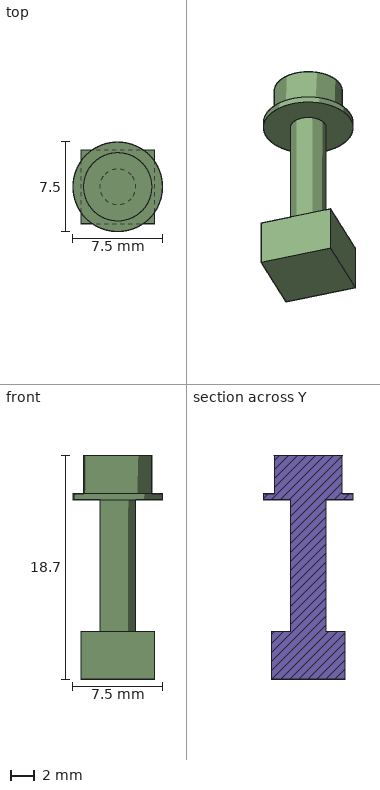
import cadquery as cq

total_height = 18.7
block_height = 4.0
washer_height = 0.52
head_height = 3.2
shank_height = total_height - block_height - washer_height - head_height

block_side = 6.17
shank_diameter = 3.0
washer_diameter = 7.5
head_diameter = 5.7


def stack_disc(body, diameter, height):
    """Add a round section centred on the top face of the body."""
    return body.faces(">Z").workplane(origin=(0, 0, 0)).circle(diameter / 2).extrude(height)


block = cq.Workplane("XY").rect(block_side, block_side).extrude(block_height)

with_shank = stack_disc(block, shank_diameter, shank_height)
with_washer = stack_disc(with_shank, washer_diameter, washer_height)
result = stack_disc(with_washer, head_diameter, head_height)